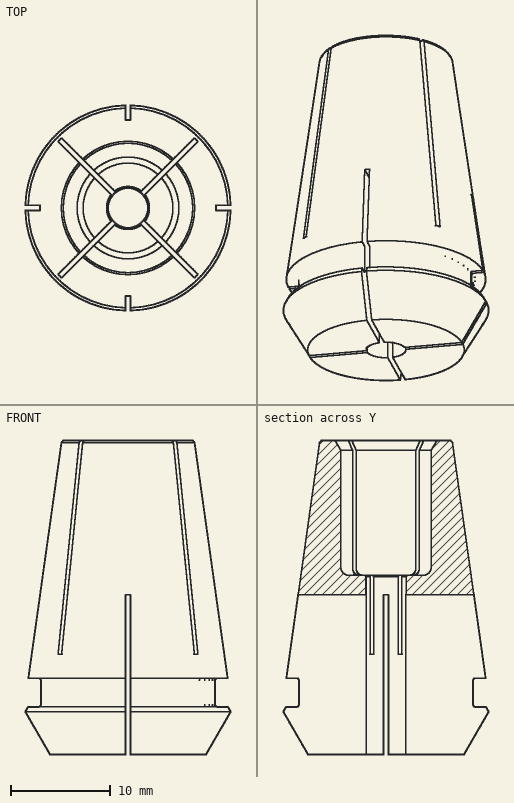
import cadquery as cq
import math


length = 31.5
rim_radius = 10.3

nose_angle = math.radians(30)
rim_height = 4.3
nose_chamfer_height = 0.15
nose_chamfer_width = 0.05
nose_top = 4.8

groove_radius = 8.74
groove_fillet = 0.2
groove_top = 7.65

cone_angle = math.radians(8)
cone_base_radius = 10.0
tail_chamfer_height = 0.25
tail_chamfer_width = 0.2

tool_radius = 3.97 / 2
tool_chamfer = 0.17
relief_radius = 4.5
relief_floor = 18.0
relief_fillet = 0.75
mouth_radius = 5.1
mouth_depth = 1.0

slots_per_end = 4
slot_overrun = 1.0
slot_reach = rim_radius + slot_overrun
nose_slot_width = 0.5
nose_slot_top = 16.0
tail_slot_width = 0.5
tail_slot_floor = 10.05


def nose_radius_at(z):
    """Radius of the nose cone, which widens upward to the rim."""
    return rim_radius - (rim_height - z) * math.tan(nose_angle)


def cone_radius_at(z):
    """Radius of the clamping cone, which narrows upward from the groove."""
    return cone_base_radius - (z - groove_top) * math.tan(cone_angle)


def rounded_corner(sketch, corner, start, end, radius):
    """Draw a line to start, then a fillet arc to end around a square corner."""
    center = (start[0] + end[0] - corner[0], start[1] + end[1] - corner[1])
    reach = radius / math.dist(corner, center)
    middle = tuple(c + (k - c) * reach for c, k in zip(center, corner))
    return sketch.lineTo(*start).threePointArc(middle, end)


def make_body():
    """Revolve the solid outer profile, still without bores or slots."""
    nose_edge = nose_radius_at(nose_chamfer_height)
    tail_edge_height = length - tail_chamfer_height
    tail_edge = cone_radius_at(tail_edge_height)
    lip_radius = rim_radius - (nose_top - rim_height) * math.tan(nose_angle)

    profile = (
        cq.Workplane("XZ")
        .lineTo(nose_edge - nose_chamfer_width, 0)
        .lineTo(nose_edge, nose_chamfer_height)
        .lineTo(rim_radius, rim_height)
        .lineTo(lip_radius, nose_top)
    )
    profile = rounded_corner(
        profile,
        (groove_radius, nose_top),
        (groove_radius + groove_fillet, nose_top),
        (groove_radius, nose_top + groove_fillet),
        groove_fillet,
    )
    profile = rounded_corner(
        profile,
        (groove_radius, groove_top),
        (groove_radius, groove_top - groove_fillet),
        (groove_radius + groove_fillet, groove_top),
        groove_fillet,
    )
    profile = (
        profile.lineTo(cone_base_radius, groove_top)
        .lineTo(tail_edge, tail_edge_height)
        .lineTo(tail_edge - tail_chamfer_width, length)
        .lineTo(0, length)
        .close()
    )
    return profile.revolve(360, (0, 0, 0), (0, 1, 0))


def make_bore():
    """Revolve the tool bore together with the wider relief bore above it."""
    profile = (
        cq.Workplane("XZ")
        .lineTo(tool_radius, 0)
        .lineTo(tool_radius, relief_floor - tool_chamfer)
        .lineTo(tool_radius + tool_chamfer, relief_floor)
    )
    profile = rounded_corner(
        profile,
        (relief_radius, relief_floor),
        (relief_radius - relief_fillet, relief_floor),
        (relief_radius, relief_floor + relief_fillet),
        relief_fillet,
    )
    profile = (
        profile.lineTo(relief_radius, length - mouth_depth)
        .lineTo(mouth_radius, length)
        .lineTo(0, length)
        .close()
    )
    return profile.revolve(360, (0, 0, 0), (0, 1, 0))


def cut_slots(body, width, bottom, top, first_angle):
    """Cut evenly spaced radial slots between two heights."""
    for index in range(slots_per_end):
        slot = (
            cq.Workplane("XY", origin=(slot_reach / 2, 0, bottom))
            .rect(slot_reach, width)
            .extrude(top - bottom)
        )
        angle = first_angle + index * 360 / slots_per_end
        body = body.cut(slot.rotate((0, 0, 0), (0, 0, 1), angle))
    return body


collet = make_body().cut(make_bore())
collet = cut_slots(collet, nose_slot_width, 0, nose_slot_top, 0)
collet = cut_slots(collet, tail_slot_width, tail_slot_floor, length, 180 / slots_per_end)

result = collet